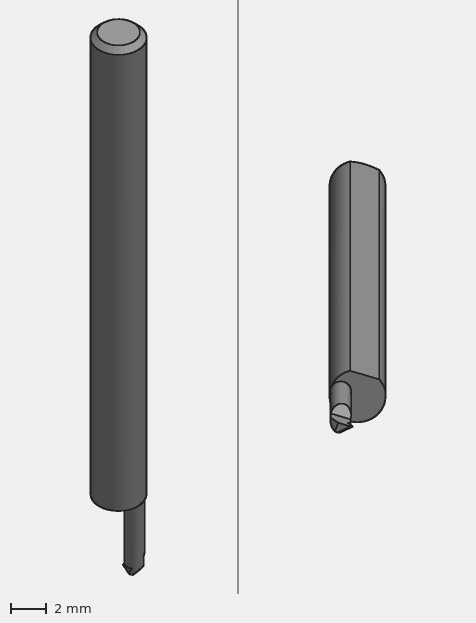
import cadquery as cq


overall_length = 38.1
shank_diameter = 3.175
shank_radius = shank_diameter / 2
width_across_flat = 2.92
shank_end_chamfer = 0.38

neck_length = 5.08
neck_diameter = 1.17
neck_radius = neck_diameter / 2
neck_edge_inset = 0.01
neck_right_x = shank_radius - neck_edge_inset
neck_axis_x = neck_right_x - neck_radius
neck_left_x = neck_axis_x - neck_radius

rake_flat_height = 1.13
runout_rise = 0.52

tooth_height = 0.48
tooth_root_inset = 0.12
tooth_overhang = 0.13
tooth_corner_height = 0.1
tip_inset = 0.02
end_rise = 0.06
end_clearance = 0.03
side_clearance = neck_radius
corner_chamfer = 0.42


def make_shank():
    """Round shank, chamfered at the top, with one full-length flat on +Y."""
    length = overall_length - neck_length
    shank = (
        cq.Workplane("XY")
        .workplane(offset=neck_length)
        .circle(shank_radius)
        .extrude(length)
        .faces(">Z")
        .chamfer(shank_end_chamfer)
    )
    flat_limit = (
        cq.Workplane("XY")
        .workplane(offset=neck_length)
        .center(0, width_across_flat / 2 - shank_radius)
        .rect(shank_diameter, width_across_flat)
        .extrude(length)
    )
    return shank.intersect(flat_limit)


def block(x_range, y_range, height):
    """Box standing on z = 0."""
    x_start, x_end = x_range
    y_start, y_end = y_range
    return cq.Workplane("XY").box(
        x_end - x_start, y_end - y_start, height, centered=False
    ).translate((x_start, y_start, 0))


def make_neck():
    """Eccentric round neck, widened at its end for the cutting corner."""
    neck = cq.Workplane("XY").center(neck_axis_x, 0).circle(neck_radius).extrude(neck_length)
    corner_stock = block((0, neck_axis_x), (-neck_radius / 2, 0), tooth_height)
    return neck.union(corner_stock)


def make_rake_cut():
    """Clears the +Y half of the neck end, finishing in a sloping runout."""
    runout_reach = 2 * neck_radius
    runout_top = rake_flat_height + runout_reach * runout_rise / neck_radius
    return (
        cq.Workplane("YZ")
        .polyline([(0, 0), (runout_reach, 0), (runout_reach, runout_top), (0, rake_flat_height)])
        .close()
        .extrude(shank_diameter)
    )


def tooth_profile(side_shift, end_shift):
    """XZ outline of the tooth; the shifts move its cutting edges to give clearance."""
    flank_x = neck_left_x + side_shift
    return [
        (flank_x + tooth_root_inset, tooth_height),
        (flank_x - tooth_overhang, tooth_corner_height + end_shift),
        (flank_x + tip_inset, end_shift),
        (shank_radius, end_rise + end_shift),
        (shank_radius, tooth_height),
    ]


def make_tooth_relief():
    """Everything below the ledge and behind the rake face that is not tooth."""
    tooth = (
        cq.Workplane("XZ")
        .polyline(tooth_profile(0, 0))
        .close()
        .workplane(offset=neck_radius)
        .polyline(tooth_profile(side_clearance, end_clearance))
        .close()
        .loft(ruled=True)
    )
    return block((0, shank_radius), (-neck_radius, 0), tooth_height).cut(tooth)


def make_corner_cut():
    """45 degree wedge that trims the +X corner of the end."""
    leg = corner_chamfer + end_rise
    corner_wedge = [
        (shank_radius - leg, 0),
        (shank_radius, 0),
        (shank_radius, leg),
    ]
    return (
        cq.Workplane("XZ")
        .polyline(corner_wedge)
        .close()
        .extrude(neck_radius, both=True)
    )


def make_tool():
    """Shank and neck joined, then the end of the neck ground to form the tooth."""
    tool = make_shank().union(make_neck())
    for cut in (make_rake_cut(), make_tooth_relief(), make_corner_cut()):
        tool = tool.cut(cut)
    return tool


result = make_tool()